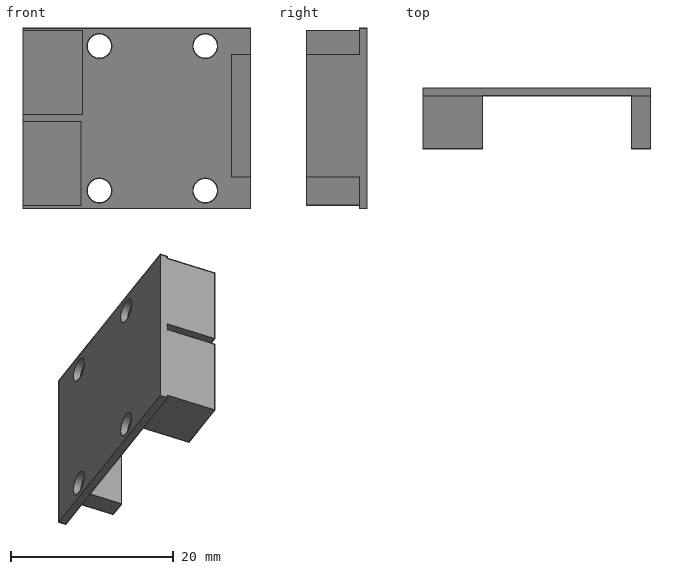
import cadquery as cq

board_length = 28.0
board_height = 22.2
board_thickness = 0.98
overall_depth = 7.5
block_depth = overall_depth - board_thickness

hole_diameter = 3.0
hole_edge_inset = 2.2
hole_columns = (9.4, 22.43)
hole_rows = (hole_edge_inset, board_height - hole_edge_inset)

connector_height = 10.33
upper_connector_width = 7.35
upper_connector_inset = 0.28
lower_connector_width = 7.15
lower_connector_inset = 0.4

header_width = 2.35
header_height = 15.1
header_bottom = 3.85


def corner_box(width, depth, height, x, y, z):
    """Box with its lowest corner at (x, y, z)."""
    return cq.Workplane("XY").box(width, depth, height, centered=False).translate((x, y, z))


def front_block(width, height, x, z):
    """Block standing out from the front face of the board."""
    return corner_box(width, block_depth, height, x, 0, z)


def mounting_hole(x, z):
    """Cutter running through the board thickness."""
    return (
        cq.Workplane("XZ", origin=(x, overall_depth, z))
        .circle(hole_diameter / 2)
        .extrude(board_thickness)
    )


board = corner_box(board_length, board_thickness, board_height, 0, block_depth, 0)
for hole_x in hole_columns:
    for hole_z in hole_rows:
        board = board.cut(mounting_hole(hole_x, hole_z))

upper_connector_bottom = board_height - upper_connector_inset - connector_height
upper_connector = front_block(upper_connector_width, connector_height, 0, upper_connector_bottom)
lower_connector = front_block(lower_connector_width, connector_height, 0, lower_connector_inset)
header = front_block(header_width, header_height, board_length - header_width, header_bottom)

result = board.union(upper_connector).union(lower_connector).union(header)